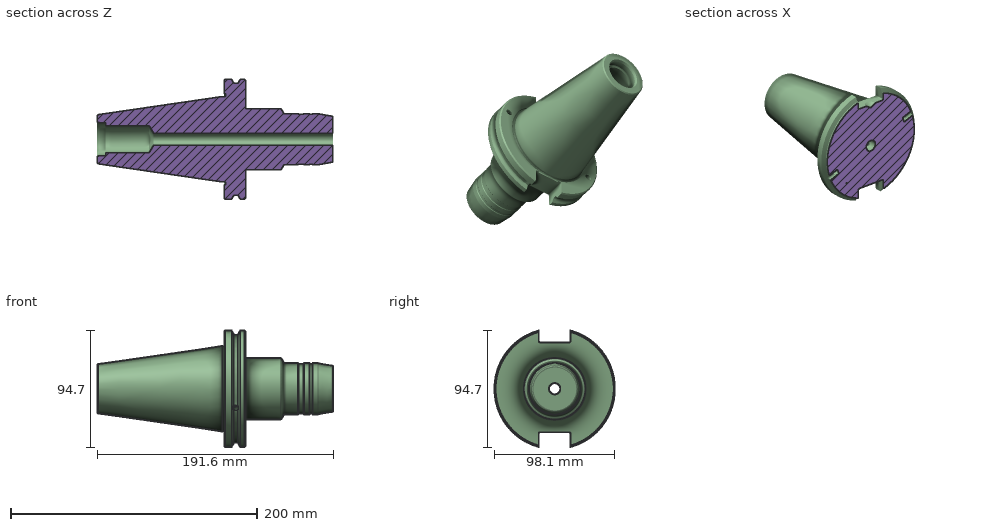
import cadquery as cq
import math

LENGTH = 191.6

TAPER_LENGTH = 101.5
TAPER_END_DIA = 69.7
TAPER_RATIO = 7 / 24
TAPER_START_DIA = TAPER_END_DIA - TAPER_RATIO * TAPER_LENGTH
TAPER_CHAMFER = 0.8
NECK_DIA = 69.2

RELIEF_DIA = 73.4
RELIEF_DEPTH = 1.1
RELIEF_ROOT_ROUND = 1.3

FLANGE_DIA = 98.1
FLANGE_START = 103.0
FLANGE_END = 120.7
FLANGE_FRONT_CHAMFER = 1.0
FLANGE_BACK_CHAMFER = 1.1
GROOVE_CENTER = 112.7
GROOVE_FLOOR_DIA = 91.5
GROOVE_FLOOR_WIDTH = 3.3
GROOVE_HALF_ANGLE = 30.0

BODY_DIA = 50.0
BODY_ROOT_ROUND = 0.5
BODY_END = 151.7
SHOULDER_ANGLE = 60.0
SHOULDER_ROUND = 1.3
SHOULDER_ROOT_ROUND = 0.8

NOSE_DIA = 42.0
NOSE_GROOVE_DIA = 41.0
NOSE_GROOVES = ((163.0, 168.0), (172.2, 175.1))
TIP_START = 179.0
TIP_ANGLE = 10.0
TIP_ROUND = 1.1

RIM_TOLERANCE = 0.2

MOUTH_DIA = 28.0
MOUTH_DEPTH = 2.0
COUNTERBORE_DIA = 26.2
COUNTERBORE_DEPTH = 6.7
BORE_DIA = 21.5
BORE_DEPTH = 42.2
BORE_TIP_ANGLE = 118.0
THROUGH_DIA = 9.0

SLOT_WIDTH = 25.7
SLOT_CORNER_ROUND = 1.0
TOP_SLOT_HEIGHT = 37.7
BOTTOM_SLOT_HEIGHT = 35.5
DIMPLE_DIA = 9.5
DIMPLE_ANGLE = 118.0

COOLANT_ANGLE = 20.0
COOLANT_RADIUS = 42.2
COOLANT_MOUTH_DIA = 5.0
COOLANT_MOUTH_DEPTH = 2.3
COOLANT_DIA = 4.2
COOLANT_TILT = 30.0
VENT_DIA = 4.2


def revolve_x(outline):
    """Close a half outline and turn it around the X axis."""
    return outline.close().revolve(360, (0, 0, 0), (1, 0, 0))


def cone_depth(dia, tip_angle):
    """Height of a cone from its base diameter and full tip angle."""
    return dia / 2 / math.tan(math.radians(tip_angle / 2))


def make_shank():
    start_r = TAPER_START_DIA / 2
    outline = (
        cq.Workplane("XY")
        .moveTo(0, 0)
        .lineTo(0, start_r - TAPER_CHAMFER)
        .lineTo(TAPER_CHAMFER, start_r + TAPER_CHAMFER * TAPER_RATIO / 2)
        .lineTo(TAPER_LENGTH, TAPER_END_DIA / 2)
        .lineTo(TAPER_LENGTH, NECK_DIA / 2)
        .lineTo(FLANGE_END, NECK_DIA / 2)
        .lineTo(FLANGE_END, 0)
    )
    return revolve_x(outline)


def make_flange():
    r = FLANGE_DIA / 2
    floor_r = GROOVE_FLOOR_DIA / 2
    floor_half = GROOVE_FLOOR_WIDTH / 2
    top_half = floor_half + (r - floor_r) * math.tan(math.radians(GROOVE_HALF_ANGLE))
    outline = (
        cq.Workplane("XY")
        .moveTo(FLANGE_START, 0)
        .lineTo(FLANGE_START, r - FLANGE_FRONT_CHAMFER)
        .lineTo(FLANGE_START + FLANGE_FRONT_CHAMFER, r)
        .lineTo(GROOVE_CENTER - top_half, r)
        .lineTo(GROOVE_CENTER - floor_half, floor_r)
        .lineTo(GROOVE_CENTER + floor_half, floor_r)
        .lineTo(GROOVE_CENTER + top_half, r)
        .lineTo(FLANGE_END - FLANGE_BACK_CHAMFER, r)
        .lineTo(FLANGE_END, r - FLANGE_BACK_CHAMFER)
        .lineTo(FLANGE_END, 0)
    )
    return revolve_x(outline)


def make_relief():
    neck_r = NECK_DIA / 2
    floor_x = FLANGE_START + RELIEF_DEPTH
    round_start = (floor_x - RELIEF_ROOT_ROUND, neck_r)
    round_end = (floor_x, neck_r + RELIEF_ROOT_ROUND)
    outline = (
        cq.Workplane("XY")
        .moveTo(*round_start)
        .radiusArc(round_end, -RELIEF_ROOT_ROUND)
        .lineTo(floor_x, RELIEF_DIA / 2)
        .lineTo(round_start[0], RELIEF_DIA / 2)
    )
    return revolve_x(outline)


def rim(solid, x):
    """Edges of the solid lying in the plane at x."""
    half = FLANGE_DIA
    slab = cq.selectors.BoxSelector(
        (x - RIM_TOLERANCE, -half, -half), (x + RIM_TOLERANCE, half, half), boundingbox=True
    )
    return solid.edges(slab)


def make_body_and_nose():
    body_r = BODY_DIA / 2
    nose_r = NOSE_DIA / 2
    shoulder_start = BODY_END - (body_r - nose_r) / math.tan(math.radians(SHOULDER_ANGLE))
    tip_r = nose_r - (LENGTH - TIP_START) * math.tan(math.radians(TIP_ANGLE))
    outline = (
        cq.Workplane("XY")
        .moveTo(FLANGE_END, 0)
        .lineTo(FLANGE_END, body_r + BODY_ROOT_ROUND)
        .radiusArc((FLANGE_END + BODY_ROOT_ROUND, body_r), -BODY_ROOT_ROUND)
        .lineTo(shoulder_start, body_r)
        .lineTo(BODY_END, nose_r)
        .lineTo(TIP_START, nose_r)
        .lineTo(LENGTH, tip_r)
        .lineTo(LENGTH, 0)
    )
    solid = revolve_x(outline)
    solid = rim(solid, shoulder_start).fillet(SHOULDER_ROUND)
    solid = rim(solid, BODY_END).fillet(SHOULDER_ROOT_ROUND)
    return rim(solid, LENGTH).fillet(TIP_ROUND)


def make_nose_groove(start, end):
    nose_r = NOSE_DIA / 2
    floor_r = NOSE_GROOVE_DIA / 2
    wall = nose_r - floor_r
    outline = (
        cq.Workplane("XY")
        .moveTo(start, nose_r)
        .lineTo(start + wall, floor_r)
        .lineTo(end - wall, floor_r)
        .lineTo(end, nose_r)
    )
    return revolve_x(outline)


def make_bore():
    through_r = THROUGH_DIA / 2
    tip_depth = cone_depth(BORE_DIA - THROUGH_DIA, BORE_TIP_ANGLE)
    outline = (
        cq.Workplane("XY")
        .moveTo(0, 0)
        .lineTo(0, MOUTH_DIA / 2)
        .lineTo(MOUTH_DEPTH, COUNTERBORE_DIA / 2)
        .lineTo(COUNTERBORE_DEPTH, COUNTERBORE_DIA / 2)
        .lineTo(COUNTERBORE_DEPTH, BORE_DIA / 2)
        .lineTo(BORE_DEPTH, BORE_DIA / 2)
        .lineTo(BORE_DEPTH + tip_depth, through_r)
        .lineTo(LENGTH, through_r)
        .lineTo(LENGTH, 0)
    )
    return revolve_x(outline)


def make_slot(floor_height, side):
    length = FLANGE_END - FLANGE_START
    height = FLANGE_DIA / 2
    slot = cq.Workplane("XY").box(length, SLOT_WIDTH, height, centered=(False, True, False))
    slot = slot.edges("|X and <Z").fillet(SLOT_CORNER_ROUND)
    slot = slot.translate((FLANGE_START, 0, floor_height))
    return slot if side > 0 else slot.mirror("XY")


def make_dimple():
    depth = cone_depth(DIMPLE_DIA, DIMPLE_ANGLE)
    cone = cq.Solid.makeCone(DIMPLE_DIA / 2, 0, depth, (GROOVE_CENTER, 0, TOP_SLOT_HEIGHT), (0, 0, -1))
    return cq.Workplane(cone)


def make_coolant_passage():
    tilt = math.radians(COOLANT_TILT)
    entry = cq.Vector(FLANGE_START, COOLANT_RADIUS, 0)
    direction = cq.Vector(math.cos(tilt), -math.sin(tilt), 0)
    lead = COOLANT_MOUTH_DIA
    drill_length = (GROOVE_CENTER - FLANGE_START) / math.cos(tilt)
    mouth = cq.Solid.makeCylinder(
        COOLANT_MOUTH_DIA / 2, lead + COOLANT_MOUTH_DEPTH, entry - direction * lead, direction
    )
    drill = cq.Solid.makeCylinder(COOLANT_DIA / 2, drill_length, entry, direction)
    drill_end = entry + direction * drill_length
    vent = cq.Solid.makeCylinder(VENT_DIA / 2, FLANGE_DIA / 2 - drill_end.y, drill_end, cq.Vector(0, 1, 0))
    passage = cq.Workplane(mouth).union(cq.Workplane(drill)).union(cq.Workplane(vent))
    return passage.rotate((0, 0, 0), (1, 0, 0), COOLANT_ANGLE)


result = make_flange().union(make_shank()).cut(make_relief())
result = result.cut(make_slot(TOP_SLOT_HEIGHT, 1)).cut(make_slot(BOTTOM_SLOT_HEIGHT, -1))
result = result.union(make_body_and_nose())
for groove_start, groove_end in NOSE_GROOVES:
    result = result.cut(make_nose_groove(groove_start, groove_end))
result = result.cut(make_bore()).cut(make_dimple())
for half_turn in (0, 180):
    result = result.cut(make_coolant_passage().rotate((0, 0, 0), (1, 0, 0), half_turn))